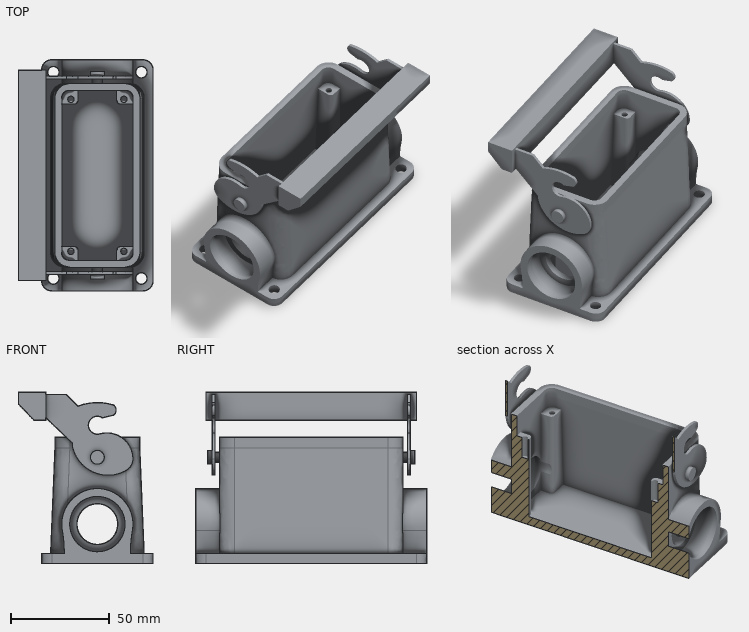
import cadquery as cq
import math

flange_width = 56.5
flange_length = 117.0
flange_thickness = 5.25
flange_corner_radius = 5.25
screw_hole_diameter = 5.7
screw_hole_spacing_x = 44.5
screw_hole_spacing_y = 104.3

rim_width = 43.0
shell_length = 93.0
shell_corner_radius = 7.6
shell_foot_width = 47.4
wall = 3.5
housing_height = 64.0
rim_bottom = 58.6

post_width = 8.2
post_depth = 7.0
post_corner_radius = 2.0
post_top = 52.0
post_hole_diameter = 3.2
post_hole_depth = 12.0
post_hole_spacing_x = 26.8
post_hole_spacing_y = 76.9

entry_height = 20.0
entry_radius = 18.0
entry_hole_diameter = 20.5
entry_bore_diameter = 28.0
entry_neck_angle = math.radians(10.2)

pivot_height = 53.8
stud_diameter = 5.2
stud_head_diameter = 7.0
stud_head_height = 2.3

latch_length = 106.5
arm_thickness = 1.5
arm_gap = 48.65
bar_left = -40.0
bar_right = -26.0
bar_top = 86.8
bar_height = 14.35
bar_front_height = 6.0
bar_bottom_width = 6.0

shell_end = shell_length / 2
flange_end = flange_length / 2
arm_outer = arm_gap + arm_thickness
ends = (-1, 1)


def mirror_to_end(body, end):
    """Return the +Y body as is, or its mirror image for the -Y end."""
    return body if end > 0 else body.mirror("XZ")


def along_y(profile_z, start, length):
    """XZ workplane, its origin at z = profile_z, that extrudes from start + length back to start."""
    return cq.Workplane(cq.Plane((0, start + length, profile_z), (1, 0, 0), (0, -1, 0)))


def cylinder_y(diameter, height, start, length):
    return along_y(height, start, length).circle(diameter / 2).extrude(length)


def rounded_sketch(width, length, radius):
    return cq.Sketch().rect(width, length).vertices().fillet(radius)


def flared_block(inset, bottom, top):
    """Rounded block following the shell's outside, set in by inset on all sides."""
    flare = (shell_foot_width - rim_width) / (rim_bottom - flange_thickness)
    flared_height = rim_bottom - bottom
    bottom_width = rim_width + flare * flared_height - 2 * inset
    top_width = rim_width - 2 * inset
    length = shell_length - 2 * inset
    radius = shell_corner_radius - inset
    top_outline = rounded_sketch(top_width, length, radius)
    flared = (
        cq.Workplane("XY").workplane(offset=bottom)
        .placeSketch(
            rounded_sketch(bottom_width, length, radius),
            top_outline.moved(cq.Location(cq.Vector(0, 0, flared_height))),
        )
        .loft(ruled=True)
    )
    rim = (
        cq.Workplane("XY").workplane(offset=rim_bottom)
        .placeSketch(top_outline)
        .extrude(top - rim_bottom)
    )
    return flared.union(rim)


def make_flange():
    return (
        cq.Workplane("XY")
        .rect(flange_width, flange_length).extrude(flange_thickness)
        .edges("|Z").fillet(flange_corner_radius)
        .faces(">Z").workplane()
        .rect(screw_hole_spacing_x, screw_hole_spacing_y, forConstruction=True).vertices()
        .hole(screw_hole_diameter)
    )


def make_entry():
    """Round cable boss at the +Y end, its sides curving in to a narrower foot."""
    neck_x = entry_radius * math.cos(entry_neck_angle)
    neck_z = entry_height - entry_radius * math.sin(entry_neck_angle)
    side_radius = (neck_z - flange_thickness) / math.sin(entry_neck_angle)
    side_centre_x = neck_x + side_radius * math.cos(entry_neck_angle)
    foot_x = side_centre_x - side_radius
    half_angle = entry_neck_angle / 2
    side_mid_x = side_centre_x - side_radius * math.cos(half_angle)
    side_mid_z = flange_thickness + side_radius * math.sin(half_angle)
    length = flange_end - (shell_end - shell_corner_radius)
    return (
        along_y(0, flange_end - length, length)
        .moveTo(-foot_x, flange_thickness)
        .threePointArc((-side_mid_x, side_mid_z), (-neck_x, neck_z))
        .threePointArc((0, entry_height + entry_radius), (neck_x, neck_z))
        .threePointArc((side_mid_x, side_mid_z), (foot_x, flange_thickness))
        .close().extrude(length)
    )


def make_posts(cavity):
    """Four posts filling the cavity corners, each with a blind screw hole."""
    inner_x = rim_width / 2 - wall - post_width
    inner_y = shell_end - wall - post_depth
    block_x = shell_foot_width / 2 - inner_x
    block_y = shell_end - inner_y
    posts = cq.Workplane("XY")
    for side in ends:
        for end in ends:
            block = (
                cq.Workplane("XY")
                .box(block_x, block_y, post_top, centered=False)
                .edges("|Z and <X and <Y").fillet(post_corner_radius)
                .translate((inner_x, inner_y, 0))
            )
            if side < 0:
                block = block.mirror("YZ")
            posts = posts.add(mirror_to_end(block, end))
    posts = posts.combine().intersect(cavity)
    holes = (
        cq.Workplane("XY").workplane(offset=post_top)
        .rect(post_hole_spacing_x, post_hole_spacing_y, forConstruction=True).vertices()
        .circle(post_hole_diameter / 2).extrude(-post_hole_depth)
    )
    return posts.cut(holes)


def make_stud():
    """Headed stud at the +Y end, rising from the end wall."""
    shank_start = shell_end - wall / 2
    shank = cylinder_y(stud_diameter, pivot_height, shank_start, arm_outer - shank_start)
    head = cylinder_y(stud_head_diameter, pivot_height, arm_outer, stud_head_height)
    return shank.union(head)


def make_housing():
    cavity = flared_block(wall, flange_thickness, housing_height)
    body = make_flange().union(flared_block(0, flange_thickness, housing_height))
    for end in ends:
        body = body.union(mirror_to_end(make_entry(), end))
    body = body.cut(cavity).union(make_posts(cavity))
    body = body.cut(cylinder_y(entry_hole_diameter, entry_height, -flange_end, flange_length))
    bore = cylinder_y(entry_bore_diameter, entry_height, shell_end, flange_end - shell_end)
    for end in ends:
        body = body.cut(mirror_to_end(bore, end))
        body = body.union(mirror_to_end(make_stud(), end))
    return body


def make_bar():
    bar_bottom = bar_top - bar_height
    return (
        along_y(0, -latch_length / 2, latch_length)
        .moveTo(bar_left, bar_top)
        .lineTo(bar_right, bar_top)
        .lineTo(bar_right, bar_bottom)
        .lineTo(bar_right - bar_bottom_width, bar_bottom)
        .lineTo(bar_left, bar_top - bar_front_height)
        .close().extrude(latch_length)
    )


def on_circle(centre, radius, angle):
    """Point at an angle in degrees, counted from +X towards +Z."""
    turn = math.radians(angle)
    return (centre[0] + radius * math.cos(turn), centre[1] + radius * math.sin(turn))


def make_arm():
    """Flat locking arm at the +Y end; points are (x, z)."""
    arm_top = 85.6
    shoulder_x = -15.7
    hook_centre = (0, pivot_height)
    hook_radius = 27.7
    hook_root_angle = 110.7
    hook_tip_angle = 73.2
    hook_nose = (9.55, 77.6)
    hook_underside = (8.05, 75.0)
    slot_centre = (0, 70.0)
    slot_radius = 4.5
    slot_mouth_angle = 55.0
    lobe_centre = (4.8, 53.0)
    belly_centre = (5.4, 63.1)
    belly_radius = 18.4
    belly_start_angle = 299.0
    belly_end_angle = 190.5
    heel_corner_z = 61.0
    heel_start = (bar_right, 73.7)

    rise = slot_centre[1] - lobe_centre[1]
    shift = slot_centre[0] - lobe_centre[0]
    lobe_radius = math.hypot(shift, rise) - slot_radius
    join_angle = math.degrees(math.atan2(rise, shift))
    lobe_join = on_circle(lobe_centre, lobe_radius, join_angle)

    hook_root = on_circle(hook_centre, hook_radius, hook_root_angle)
    hook_tip = on_circle(hook_centre, hook_radius, hook_tip_angle)
    lobe_end = on_circle(lobe_centre, lobe_radius, 0)
    belly_start = on_circle(belly_centre, belly_radius, belly_start_angle)
    heel = on_circle(belly_centre, belly_radius, belly_end_angle)
    belly_mid_angle = (belly_start_angle + belly_end_angle) / 2

    plate = (
        along_y(0, arm_gap, arm_thickness)
        .moveTo(bar_right, arm_top)
        .lineTo(shoulder_x, arm_top)
        .lineTo(*hook_root)
        .threePointArc(on_circle(hook_centre, hook_radius, 90), hook_tip)
        .threePointArc(hook_nose, hook_underside)
        .lineTo(*on_circle(slot_centre, slot_radius, slot_mouth_angle))
        .threePointArc(on_circle(slot_centre, slot_radius, 180), lobe_join)
        .threePointArc(on_circle(lobe_centre, lobe_radius, join_angle / 2), lobe_end)
        .tangentArcPoint(belly_start, relative=False)
        .threePointArc(on_circle(belly_centre, belly_radius, belly_mid_angle), heel)
        .lineTo(heel[0], heel_corner_z)
        .lineTo(*heel_start)
        .close().extrude(arm_thickness)
    )
    return plate.cut(cylinder_y(stud_diameter, pivot_height, arm_gap, arm_thickness))


def make_latch():
    body = make_bar()
    for end in ends:
        body = body.union(mirror_to_end(make_arm(), end))
    return body


housing = make_housing()
latch = make_latch()

result = cq.Compound.makeCompound([housing.val(), latch.val()])